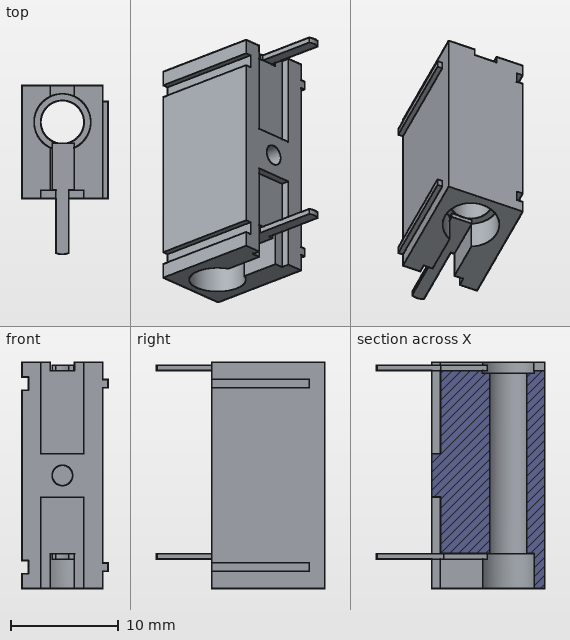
import cadquery as cq

BODY_WIDTH = 7.52
BODY_DEPTH = 10.5
BODY_HEIGHT = 21.0
HALF_WIDTH = BODY_WIDTH / 2

TONGUE_REACH = 0.48
TONGUE_HEIGHT = 0.8
TONGUE_LENGTH = 9.03
GROOVE_DEPTH = 0.6
GROOVE_HEIGHT = 1.2
JOINT_END_OFFSET = 2.0

RECESS_WIDTH = 4.0
RECESS_HEIGHT = 8.48
RECESS_DEPTH = 0.8
FRONT_HOLE_DIAMETER = 1.9
FRONT_HOLE_DEPTH = 1.9

BORE_DIAMETER = 4.0
BORE_Y = 7.1
COUNTERBORE_DIAMETER = 5.25
TOP_COUNTERBORE_DEPTH = 1.0

CHANNEL_WIDTH = 2.2
TOP_CHANNEL_DEPTH = 0.8
BOTTOM_CHANNEL_DEPTH = 3.25

TERMINAL_THICKNESS = 0.52
BLADE_WIDTH = 2.04
BLADE_SHIFT = 0.06
TOP_BLADE_FRONT_Y = 0.85
BOTTOM_BLADE_FRONT_Y = 1.11
BLADE_BACK_Y = 5.15
PIN_WIDTH = 1.2
PIN_REACH = 5.17
TIP_RISE = 0.13


def block(x_min, x_max, y_min, y_max, z_min, z_max):
    """Box given by its limits along each axis."""
    size = (x_max - x_min, y_max - y_min, z_max - z_min)
    return cq.Workplane("XY").box(*size, centered=False).translate((x_min, y_min, z_min))


def bore(diameter, z_min, z_max):
    """Vertical cylinder on the bore axis."""
    plane = cq.Workplane("XY", origin=(0, BORE_Y, z_min))
    return plane.circle(diameter / 2).extrude(z_max - z_min)


def terminal(z_min, blade_front_y):
    """Blade and pin cut from one flat strip, with a bowed pin tip."""
    half_pin = PIN_WIDTH / 2
    blade_left = BLADE_SHIFT - BLADE_WIDTH / 2
    blade_right = BLADE_SHIFT + BLADE_WIDTH / 2
    return (
        cq.Workplane("XY", origin=(0, 0, z_min))
        .moveTo(-half_pin, TIP_RISE - PIN_REACH)
        .threePointArc((0, -PIN_REACH), (half_pin, TIP_RISE - PIN_REACH))
        .lineTo(half_pin, blade_front_y)
        .lineTo(blade_right, blade_front_y)
        .lineTo(blade_right, BLADE_BACK_Y)
        .lineTo(blade_left, BLADE_BACK_Y)
        .lineTo(blade_left, blade_front_y)
        .lineTo(-half_pin, blade_front_y)
        .close()
        .extrude(TERMINAL_THICKNESS)
    )


body = block(-HALF_WIDTH, HALF_WIDTH, 0, BODY_DEPTH, 0, BODY_HEIGHT)

for joint_z in (JOINT_END_OFFSET, BODY_HEIGHT - JOINT_END_OFFSET):
    half_tongue = TONGUE_HEIGHT / 2
    half_groove = GROOVE_HEIGHT / 2
    body = body.union(
        block(0, HALF_WIDTH + TONGUE_REACH, 0, TONGUE_LENGTH, joint_z - half_tongue, joint_z + half_tongue)
    )
    body = body.cut(
        block(
            -HALF_WIDTH, GROOVE_DEPTH - HALF_WIDTH,
            0, BODY_DEPTH,
            joint_z - half_groove, joint_z + half_groove,
        )
    )

for recess_z in (0, BODY_HEIGHT - RECESS_HEIGHT):
    body = body.cut(
        block(-RECESS_WIDTH / 2, RECESS_WIDTH / 2, 0, RECESS_DEPTH, recess_z, recess_z + RECESS_HEIGHT)
    )

front_hole = (
    cq.Workplane("XZ", origin=(0, 0, BODY_HEIGHT / 2))
    .circle(FRONT_HOLE_DIAMETER / 2)
    .extrude(-FRONT_HOLE_DEPTH)
)
body = body.cut(front_hole)

body = body.cut(bore(BORE_DIAMETER, 0, BODY_HEIGHT))
body = body.cut(bore(COUNTERBORE_DIAMETER, BODY_HEIGHT - TOP_COUNTERBORE_DEPTH, BODY_HEIGHT))
body = body.cut(bore(COUNTERBORE_DIAMETER, 0, BOTTOM_CHANNEL_DEPTH))

half_channel = CHANNEL_WIDTH / 2
top_channel_floor = BODY_HEIGHT - TOP_CHANNEL_DEPTH
body = body.cut(block(-half_channel, half_channel, 0, BODY_DEPTH, top_channel_floor, BODY_HEIGHT))
body = body.cut(block(-half_channel, half_channel, 0, BORE_Y, 0, BOTTOM_CHANNEL_DEPTH))

top_terminal = terminal(top_channel_floor, TOP_BLADE_FRONT_Y)
bottom_terminal = terminal(BOTTOM_CHANNEL_DEPTH - TERMINAL_THICKNESS, BOTTOM_BLADE_FRONT_Y)
result = body.union(top_terminal).union(bottom_terminal)